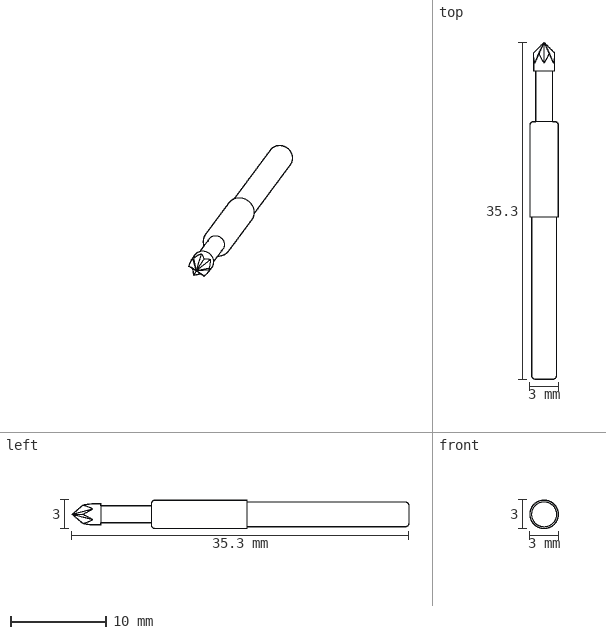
import cadquery as cq
import math

total_length = 35.3
head_diameter = 2.22
head_length = 3.0
stem_diameter = 1.8
collar_start = 8.3
collar_end = 18.32
collar_diameter = 3.0
barrel_diameter = 2.6
edge_radius = 0.4

point_count = 6
valley_length = 2.15


def rod(diameter, start, end):
    """Cylinder on the Y axis between two distances from the tip."""
    profile = cq.Workplane("XZ", origin=(0, -start, 0)).circle(diameter / 2)
    return profile.extrude(end - start)


def star_pyramid():
    """Star-shaped pyramid with its apex at the tip and its base facing -Y."""
    ridge_radius = valley_length
    valley_radius = head_diameter / 2
    apex = cq.Vector(0, 0, 0)
    corners = []
    for index in range(2 * point_count):
        angle = index * math.pi / point_count
        radius = ridge_radius if index % 2 == 0 else valley_radius
        corners.append(cq.Vector(radius * math.cos(angle), -valley_length, radius * math.sin(angle)))

    faces = [cq.Face.makeFromWires(cq.Wire.makePolygon(corners, close=True))]
    for index, corner in enumerate(corners):
        previous = corners[index - 1]
        side = cq.Wire.makePolygon([apex, previous, corner], close=True)
        faces.append(cq.Face.makeFromWires(side))
    return cq.Workplane(cq.Solid.makeSolid(cq.Shell.makeShell(faces)))


point = rod(head_diameter, 0, valley_length).intersect(star_pyramid())
head = rod(head_diameter, valley_length, head_length)
stem = rod(stem_diameter, head_length, collar_start)
collar = rod(collar_diameter, collar_start, collar_end).faces(">Y").edges().fillet(edge_radius)
barrel = rod(barrel_diameter, collar_end, total_length).faces("<Y").edges().fillet(edge_radius)

result = point.union(head).union(stem).union(collar).union(barrel).clean()